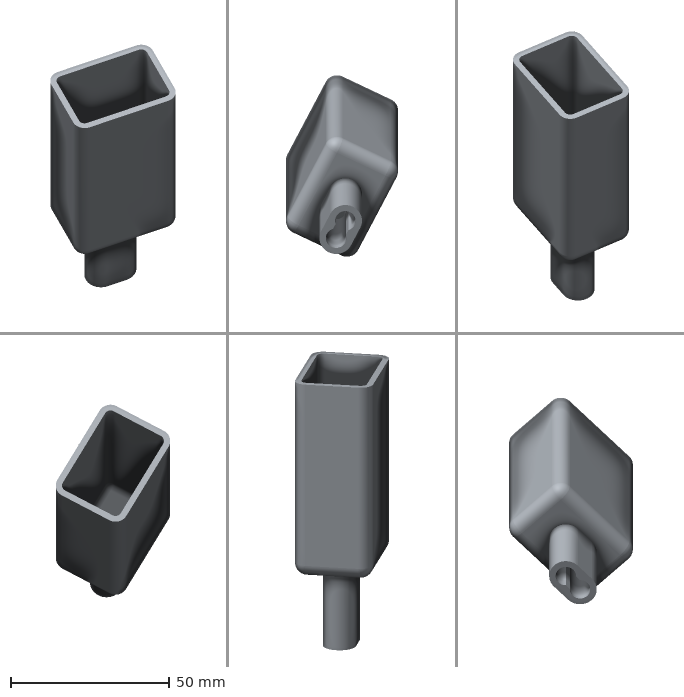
import cadquery as cq

box_width = 25.0
box_depth = 35.0
total_height = 90.0
wall = 2.0
outer_radius = 4.0
inner_radius = outer_radius - wall

stem_length = 26.0
stem_width = 10.5
bore_spacing = 6.5
bore_diameter = 6.5
neck_width = 4.5
stem_offset_y = -0.9

box_height = total_height - stem_length


def rounded_block(width, depth, height, radius, base_z):
    """Block with rounded upright edges and a rounded bottom rim."""
    return (
        cq.Workplane("XY", origin=(0, 0, base_z))
        .rect(width, depth)
        .extrude(height)
        .edges("|Z or <Z")
        .fillet(radius)
    )


def make_box():
    outside = rounded_block(box_width, box_depth, box_height, outer_radius, stem_length)
    cavity = rounded_block(
        box_width - 2 * wall,
        box_depth - 2 * wall,
        box_height - wall,
        inner_radius,
        stem_length + wall,
    )
    return outside.cut(cavity)


def make_stem():
    """Obround post reaching up to the inside of the box floor."""
    return (
        cq.Workplane("XY")
        .center(0, stem_offset_y)
        .slot2D(bore_spacing + stem_width, stem_width, 90)
        .extrude(stem_length + wall)
    )


def make_passage():
    """Two round bores joined by a narrower neck."""
    plane = cq.Workplane("XY").center(0, stem_offset_y)
    bores = (
        plane.pushPoints([(0, -bore_spacing / 2), (0, bore_spacing / 2)])
        .circle(bore_diameter / 2)
        .extrude(stem_length + wall)
    )
    neck = plane.rect(neck_width, bore_spacing).extrude(stem_length + wall)
    return bores.union(neck)


result = make_box().union(make_stem()).cut(make_passage())